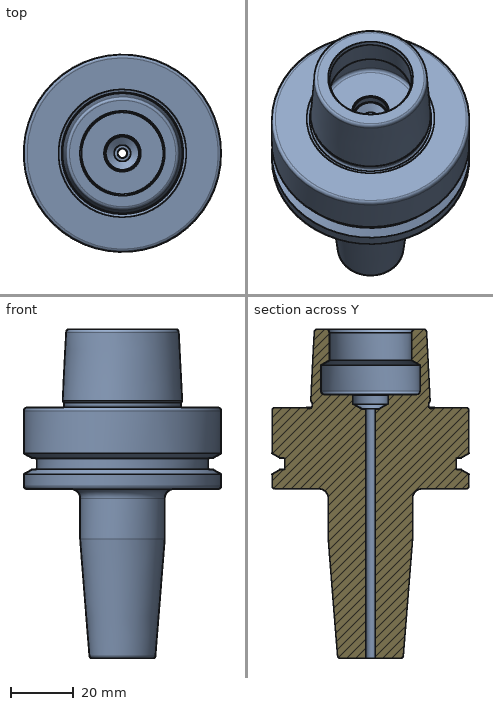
import cadquery as cq
import math

total_height = 105.0
flange_bottom = 54.0
flange_top = 80.0
neck_taper_top = 38.2

flange_radius = 31.5
flange_rounding = 1.0
groove_radius = 27.4
groove_middle = 62.1
groove_width = 6.6
groove_ledge_radius = 28.9
groove_floor_fillet = 0.4
groove_side_angle = math.radians(30)

neck_radius = 13.5
nose_radius = 10.5
nose_rounding = 0.9
neck_fillet = 2.8

shank_top_radius = 18.0
shank_base_radius = 19.1
shank_rounding = 1.0
shank_base_height = 2.1

undercut_radius = 18.7
undercut_cone_height = 1.5
undercut_wall_height = 0.5
relief_inner_radius = 19.4
relief_outer_radius = 20.4
relief_depth = 0.3

mouth_radius = 13.5
mouth_depth = 1.2
bore_radius = 13.0
bore_depth = 10.0
clamp_radius = 15.8
clamp_shoulder_angle = math.radians(30)
clamp_depth = 20.8
clamp_floor_fillet = 1.0

centre_mouth_radius = 5.9
centre_radius = 5.6
centre_wall_depth = 3.2
centre_cone_radius = 5.2
centre_floor_radius = 2.6
centre_cone_angle = math.radians(30)
through_radius = 1.5


def turned(profile):
    """Close a radius-height profile and revolve it about the Z axis."""
    return profile.close().revolve(360, (0, 0, 0), (0, 1, 0))


def profile_at(radius, height):
    """Start a profile in the XZ plane."""
    return cq.Workplane("XZ").moveTo(radius, height)


def make_neck():
    """Cylinder blended into the flange, tapering down to a rounded nose."""
    profile = (
        profile_at(0, 0)
        .lineTo(nose_radius, 0)
        .lineTo(neck_radius, neck_taper_top)
        .lineTo(neck_radius, flange_bottom - neck_fillet)
        .radiusArc((neck_radius + neck_fillet, flange_bottom), neck_fillet)
        .lineTo(0, flange_bottom)
    )
    return turned(profile).faces("<Z").edges().fillet(nose_rounding)


def make_flange():
    """Rounded disc with a gripper groove around it."""
    disc = (
        cq.Workplane("XY", origin=(0, 0, flange_bottom))
        .circle(flange_radius)
        .extrude(flange_top - flange_bottom)
        .edges()
        .fillet(flange_rounding)
    )
    half_width = groove_width / 2
    half_floor = half_width - (flange_radius - groove_ledge_radius) * math.tan(groove_side_angle)
    floor_top = groove_middle + half_floor
    floor_bottom = groove_middle - half_floor
    fillet_end_radius = groove_radius + groove_floor_fillet
    groove = (
        profile_at(flange_radius, groove_middle - half_width)
        .lineTo(groove_ledge_radius, floor_bottom)
        .lineTo(fillet_end_radius, floor_bottom)
        .radiusArc((groove_radius, floor_bottom + groove_floor_fillet), groove_floor_fillet)
        .lineTo(groove_radius, floor_top - groove_floor_fillet)
        .radiusArc((fillet_end_radius, floor_top), groove_floor_fillet)
        .lineTo(groove_ledge_radius, floor_top)
        .lineTo(flange_radius, groove_middle + half_width)
    )
    return disc.cut(turned(groove))


def make_shank():
    """Taper shank with a rounded top edge."""
    profile = (
        profile_at(0, flange_top)
        .lineTo(shank_base_radius, flange_top)
        .lineTo(shank_base_radius, flange_top + shank_base_height)
        .lineTo(shank_top_radius, total_height)
        .lineTo(0, total_height)
    )
    return turned(profile).faces(">Z").edges().fillet(shank_rounding)


def make_undercut():
    """Ring removed around the shank foot."""
    profile = (
        profile_at(shank_base_radius, flange_top + shank_base_height)
        .lineTo(undercut_radius, flange_top + undercut_cone_height)
        .lineTo(undercut_radius, flange_top + undercut_wall_height)
        .tangentArcPoint((relief_inner_radius, flange_top - relief_depth), relative=False)
        .lineTo(relief_outer_radius, flange_top)
        .lineTo(relief_outer_radius, flange_top + shank_base_height)
    )
    return turned(profile)


def make_bore():
    """Clamping bore, centre hole and through hole, as one body to remove."""
    shoulder_height = (clamp_radius - bore_radius) * math.tan(clamp_shoulder_angle)
    shoulder_end = total_height - bore_depth - shoulder_height
    floor = total_height - clamp_depth
    centre_wall_end = floor - centre_wall_depth
    centre_cone_height = (centre_cone_radius - centre_floor_radius) * math.tan(centre_cone_angle)
    centre_floor = centre_wall_end - centre_cone_height
    centre_chamfer = centre_mouth_radius - centre_radius
    profile = (
        profile_at(0, total_height)
        .lineTo(mouth_radius, total_height)
        .lineTo(bore_radius, total_height - mouth_depth)
        .lineTo(bore_radius, total_height - bore_depth)
        .lineTo(clamp_radius, shoulder_end)
        .lineTo(clamp_radius, floor + clamp_floor_fillet)
        .radiusArc((clamp_radius - clamp_floor_fillet, floor), clamp_floor_fillet)
        .lineTo(centre_mouth_radius, floor)
        .lineTo(centre_radius, floor - centre_chamfer)
        .lineTo(centre_radius, centre_wall_end)
        .lineTo(centre_cone_radius, centre_wall_end)
        .lineTo(centre_floor_radius, centre_floor)
        .lineTo(through_radius, centre_floor)
        .lineTo(through_radius, 0)
        .lineTo(0, 0)
    )
    return turned(profile)


body = make_neck().union(make_flange()).union(make_shank())
result = body.cut(make_undercut()).cut(make_bore())